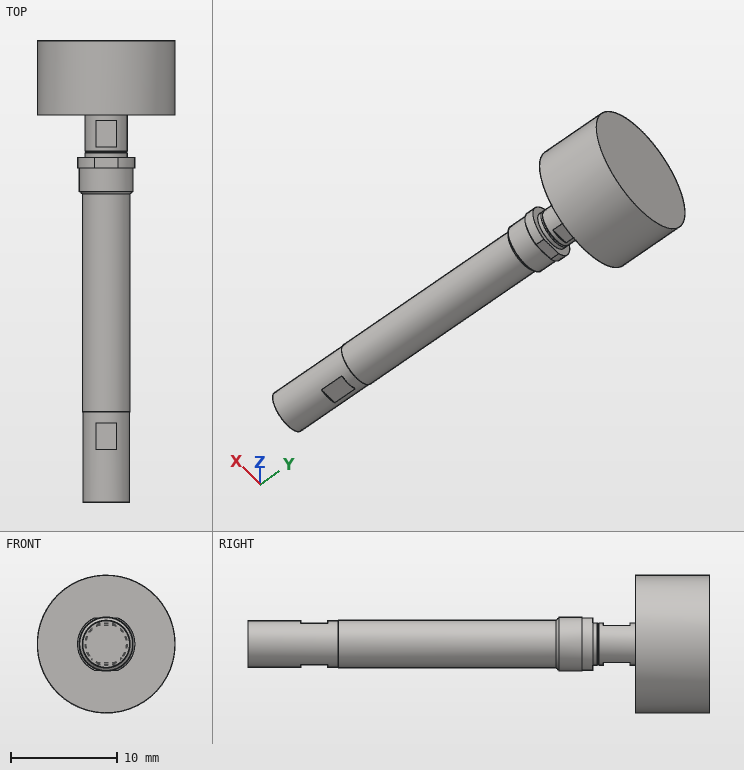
import cadquery as cq

HEAD_RADIUS = 6.5
HEAD_LENGTH = 7.0
TOTAL_LENGTH = 43.5
SHANK_LENGTH = TOTAL_LENGTH - HEAD_LENGTH

PLUNGER_RADIUS = 2.0
FLANGE_RADIUS = 2.7
COLLAR_RADIUS = 2.55
BARREL_RADIUS = 2.25
TAIL_RADIUS = 2.2

GROOVE_CENTER = 3.5
GROOVE_DEPTH = 0.1
FLANGE_START = 4.0
FLANGE_END = 5.0
COLLAR_END = 7.2
BARREL_SHOULDER = 0.25
BARREL_END = 28.0
BARREL_END_CHAMFER = BARREL_RADIUS - TAIL_RADIUS

FLAT_LENGTH = 2.5
PLUNGER_FLAT_START = 0.5
PLUNGER_FLAT_HEIGHT = 1.75
TAIL_FLAT_START = 29.0
TAIL_FLAT_HEIGHT = 1.97
FLANGE_FLAT_HEIGHT = 2.47


def revolved_body():
    """Revolve the stepped half profile about the Y axis."""
    profile = [
        (0, HEAD_LENGTH),
        (HEAD_RADIUS, HEAD_LENGTH),
        (HEAD_RADIUS, 0),
        (PLUNGER_RADIUS, 0),
        (PLUNGER_RADIUS, -GROOVE_CENTER + GROOVE_DEPTH),
        (PLUNGER_RADIUS - GROOVE_DEPTH, -GROOVE_CENTER),
        (PLUNGER_RADIUS, -GROOVE_CENTER - GROOVE_DEPTH),
        (PLUNGER_RADIUS, -FLANGE_START),
        (FLANGE_RADIUS, -FLANGE_START),
        (FLANGE_RADIUS, -FLANGE_END),
        (COLLAR_RADIUS, -FLANGE_END),
        (COLLAR_RADIUS, -COLLAR_END),
        (BARREL_RADIUS + BARREL_SHOULDER, -COLLAR_END),
        (BARREL_RADIUS, -COLLAR_END - BARREL_SHOULDER),
        (BARREL_RADIUS, -BARREL_END + BARREL_END_CHAMFER),
        (TAIL_RADIUS, -BARREL_END),
        (TAIL_RADIUS, -SHANK_LENGTH),
        (0, -SHANK_LENGTH),
    ]
    return cq.Workplane("XY").polyline(profile).close().revolve(360, (0, 0), (0, 1))


def cut_flats(body, start, length, height):
    """Cut a pair of parallel flats at Z = +height and Z = -height."""
    block = 2 * HEAD_RADIUS
    for side in (1, -1):
        center = (0, -start - length / 2, side * (height + block / 2))
        body = body.cut(cq.Workplane("XY").box(block, length, block).translate(center))
    return body


result = revolved_body()
result = cut_flats(result, PLUNGER_FLAT_START, FLAT_LENGTH, PLUNGER_FLAT_HEIGHT)
result = cut_flats(result, FLANGE_START, FLANGE_END - FLANGE_START, FLANGE_FLAT_HEIGHT)
result = cut_flats(result, TAIL_FLAT_START, FLAT_LENGTH, TAIL_FLAT_HEIGHT)